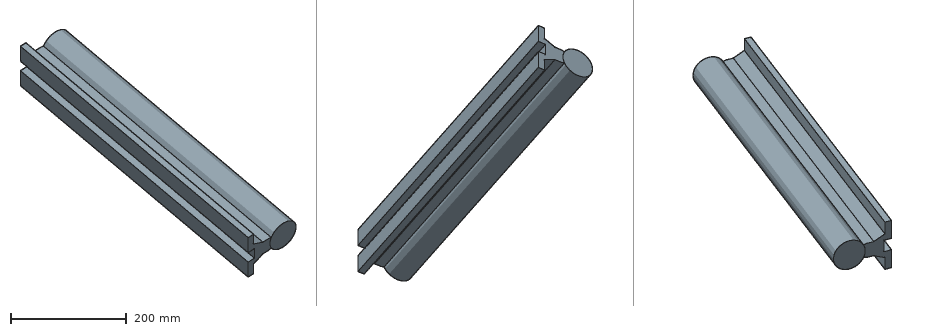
import cadquery as cq
import math

length = 600.0
depth = 110.0
height = 100.0

shaft_radius = 30.0
shaft_y = depth - shaft_radius

flange_thickness = 12.5
slot_width = 24.0
slot_depth = 14.5
root_half_height = 25.0
web_half_height = 15.0
web_start_y = 33.5
web_end_y = 47.0
lip_half_height = 13.0
lip_y = shaft_y - math.sqrt(shaft_radius**2 - lip_half_height**2)


def make_shaft():
    return cq.Workplane("YZ").center(shaft_y, 0).circle(shaft_radius).extrude(length)


def make_rail():
    """Extruded flanged rail with a front slot and a concave seat for the shaft."""
    upper_half = [
        (slot_depth, slot_width / 2),
        (0, slot_width / 2),
        (0, height / 2),
        (flange_thickness, height / 2),
        (flange_thickness, root_half_height),
        (web_start_y, web_half_height),
        (web_end_y, web_half_height),
        (lip_y, lip_half_height),
    ]
    lower_half = [(y, -z) for y, z in reversed(upper_half)]
    seat_bottom = (shaft_y - shaft_radius, 0)
    profile = cq.Workplane("YZ").polyline(upper_half)
    profile = profile.threePointArc(seat_bottom, lower_half[0])
    for point in lower_half[1:]:
        profile = profile.lineTo(*point)
    return profile.close().extrude(length)


shaft = make_shaft()
rail = make_rail()

result = cq.Compound.makeCompound([shaft.val(), rail.val()])